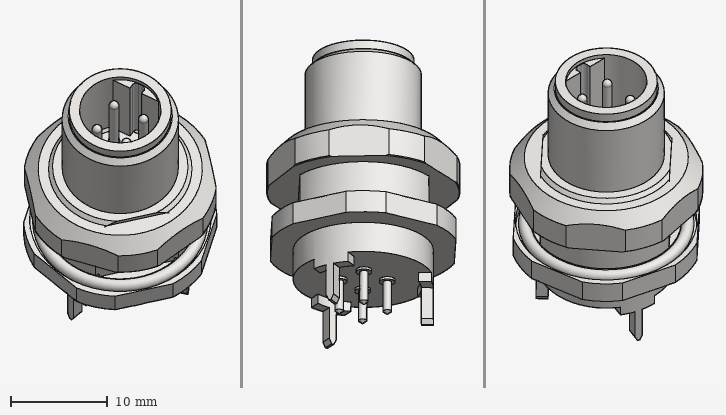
import cadquery as cq
import math

foot_bottom_z = 4.02
base_bottom_z = 5.05
flange_bottom_z = 8.33
flange_top_z = 10.7
seal_top_z = 11.07
nut_bottom_z = 14.85
nut_chamfer_z = 17.85
nut_top_z = 19.37
shoulder_z = 19.78
plug_chamfer_z = 28.15
rim_bottom_z = 28.75
rim_top_z = 29.75

base_radius = 7.25
neck_radius = 8.0
neck_flat_distance = 6.65
neck_flat_angle = 135
shoulder_radius = 7.0
plug_radius = 6.0
plug_chamfer_radius = 5.38
rim_radius = 5.27

hex_corner_radius = 10.0
hex_across_flats = 19.0
flange_flat_angle = 15
nut_flat_angle = 40.7

socket_radius = 4.2
socket_floor_radius = 3.9
socket_floor_z = 20.82
key_block_y = 3.2
key_block_top_z = 29.27
key_slot_width = 1.37
key_slot_end_y = 4.15
key_slot_corner_radius = 0.45

contact_offset = 1.75
pin_radius = 0.5
pin_collar_radius = 0.6
pin_collar_height = 0.18
pin_top_z = 27.73
tail_collar_radius = 0.8
tail_collar_bottom_z = 4.8
tail_radius = 0.45
tail_cone_z = 1.5
tail_tip_z = 1.13

foot_angles = (15, 135, 255)
foot_width = 4.0
foot_inner_radius = 6.0
leg_width = 0.85
leg_tip_width = 0.27
leg_taper_height = 0.57

seal_inner_radius = 7.75
seal_cord_radius = 0.65
groove_outer_radius = 9.37

nut_bottom_chamfer = 0.1
nut_top_radius = hex_corner_radius - (nut_top_z - nut_chamfer_z)


def cylinder(radius, bottom_z, top_z, x=0, y=0):
    return cq.Workplane("XY", origin=(x, y, bottom_z)).circle(radius).extrude(top_z - bottom_z)


def ring(outer_radius, inner_radius, bottom_z, top_z):
    return cylinder(outer_radius, bottom_z, top_z).cut(cylinder(inner_radius, bottom_z, top_z))


def revolved(points):
    """Revolve a closed outline of (radius, z) points about the Z axis."""
    return cq.Workplane("XZ").polyline(points).close().revolve(360, (0, 0), (0, 1))


def hexagon(bottom_z, top_z, flat_angle):
    """Hexagon prism about the Z axis with one flat facing the given direction."""
    half_side_angle = 30
    corner_diameter = hex_across_flats / math.cos(math.radians(half_side_angle))
    prism = cq.Workplane("XY", origin=(0, 0, bottom_z)).polygon(6, corner_diameter).extrude(top_z - bottom_z)
    return prism.rotate((0, 0, 0), (0, 0, 1), flat_angle + half_side_angle)


def make_flange():
    rounding = cylinder(hex_corner_radius, flange_bottom_z, flange_top_z)
    return hexagon(flange_bottom_z, flange_top_z, flange_flat_angle).intersect(rounding)


def make_neck():
    """Threaded neck with a 45 degree top chamfer and two opposite flats."""
    chamfer_start_z = shoulder_z - (neck_radius - shoulder_radius)
    turned = revolved([
        (0, flange_top_z),
        (neck_radius, flange_top_z),
        (neck_radius, chamfer_start_z),
        (shoulder_radius, shoulder_z),
        (0, shoulder_z),
    ])
    slab = (
        cq.Workplane("XY", origin=(0, 0, flange_top_z))
        .rect(2 * neck_flat_distance, 2 * neck_radius)
        .extrude(shoulder_z - flange_top_z)
        .rotate((0, 0, 0), (0, 0, 1), neck_flat_angle)
    )
    return turned.intersect(slab)


def make_plug():
    return revolved([
        (0, shoulder_z),
        (plug_radius, shoulder_z),
        (plug_radius, plug_chamfer_z),
        (plug_chamfer_radius, rim_bottom_z),
        (rim_radius, rim_bottom_z),
        (rim_radius, rim_top_z),
        (0, rim_top_z),
    ])


def make_socket():
    """Space inside the plug: a chamfered bore less the slotted key block."""
    chamfer = socket_radius - socket_floor_radius
    bore = revolved([
        (0, socket_floor_z),
        (socket_floor_radius, socket_floor_z),
        (socket_radius, socket_floor_z + chamfer),
        (socket_radius, rim_top_z),
        (0, rim_top_z),
    ])
    block_height = key_block_top_z - socket_floor_z
    block = (
        cq.Workplane("XY", origin=(0, key_block_y, socket_floor_z))
        .box(2 * socket_radius, socket_radius, block_height, centered=(True, False, False))
    )
    slot_depth = key_slot_end_y - key_block_y
    slot = (
        cq.Workplane("XY", origin=(0, key_block_y, socket_floor_z))
        .box(key_slot_width, slot_depth, block_height, centered=(True, False, False))
        .edges("|Z and >Y")
        .fillet(key_slot_corner_radius)
    )
    return bore.cut(block.cut(slot))


def make_pin(x, y):
    """Round-ended pin standing on a low collar on the socket floor."""
    dome_center_z = pin_top_z - pin_radius
    collar = cylinder(pin_collar_radius, socket_floor_z, socket_floor_z + pin_collar_height, x, y)
    dome = cq.Workplane("XY", origin=(x, y, dome_center_z)).sphere(pin_radius)
    return cylinder(pin_radius, socket_floor_z, dome_center_z, x, y).union(dome).union(collar)


def make_tail(x, y):
    """Collared, pointed tail of a contact below the base."""
    return revolved([
        (0, tail_tip_z),
        (tail_radius, tail_cone_z),
        (tail_radius, tail_collar_bottom_z),
        (tail_collar_radius, tail_collar_bottom_z),
        (tail_collar_radius, base_bottom_z),
        (0, base_bottom_z),
    ]).translate((x, y, 0))


def make_foot(angle):
    """Standoff block with a tapered leg, both following the base's round outline."""
    block = (
        cq.Workplane("XY", origin=(base_radius / 2, 0, foot_bottom_z))
        .rect(base_radius, foot_width)
        .extrude(base_bottom_z - foot_bottom_z)
    )
    leg = (
        cq.Workplane("YZ")
        .moveTo(-leg_width / 2, foot_bottom_z)
        .lineTo(-leg_width / 2, leg_taper_height)
        .lineTo(-leg_tip_width / 2, 0)
        .lineTo(leg_tip_width / 2, 0)
        .lineTo(leg_width / 2, leg_taper_height)
        .lineTo(leg_width / 2, foot_bottom_z)
        .close()
        .extrude(base_radius)
    )
    wall = ring(base_radius, foot_inner_radius, 0, base_bottom_z)
    return block.union(leg).rotate((0, 0, 0), (0, 0, 1), angle).intersect(wall)


def make_housing():
    housing = cylinder(base_radius, base_bottom_z, flange_bottom_z)
    housing = housing.union(make_flange()).union(make_neck()).union(make_plug())
    groove_bottom_z = seal_top_z - 2 * seal_cord_radius
    housing = housing.cut(ring(groove_outer_radius, seal_inner_radius, groove_bottom_z, seal_top_z))
    housing = housing.cut(make_socket())
    for x in (-contact_offset, contact_offset):
        for y in (-contact_offset, contact_offset):
            housing = housing.union(make_pin(x, y)).union(make_tail(x, y))
    for angle in foot_angles:
        housing = housing.union(make_foot(angle))
    return housing


def make_seal():
    ring_radius = seal_inner_radius + seal_cord_radius
    center_z = seal_top_z - seal_cord_radius
    return (
        cq.Workplane("XZ")
        .center(ring_radius, center_z)
        .circle(seal_cord_radius)
        .revolve(360, (-ring_radius, 0), (-ring_radius, 1))
    )


def make_nut():
    """Hexagon nut, chamfered on both ends, whose bore fits the flatted neck."""
    turned = revolved([
        (0, nut_bottom_z),
        (hex_corner_radius - nut_bottom_chamfer, nut_bottom_z),
        (hex_corner_radius, nut_bottom_z + nut_bottom_chamfer),
        (hex_corner_radius, nut_chamfer_z),
        (nut_top_radius, nut_top_z),
        (0, nut_top_z),
    ])
    return hexagon(nut_bottom_z, nut_top_z, nut_flat_angle).intersect(turned).cut(make_neck())


housing = make_housing()
seal = make_seal()
nut = make_nut()

result = cq.Compound.makeCompound([housing.val(), seal.val(), nut.val()])